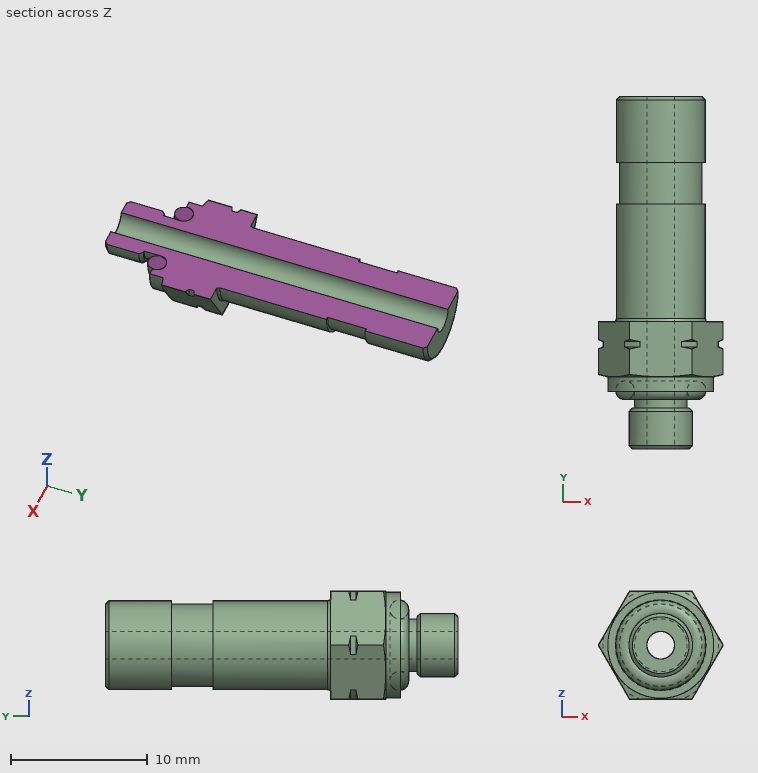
import cadquery as cq
import math


total_length = 25.75
spigot_length = 3.0
neck_length = 1.2
collar_length = 1.06
hex_length = 4.04
stem_root_length = 0.22
rear_land_length = 4.83
stem_recess_length = 3.02

bore_diameter = 2.0
spigot_diameter = 4.64
neck_diameter = 3.85
collar_diameter = 7.74
stem_diameter = 6.5
stem_root_diameter = 6.65
stem_recess_diameter = 6.05

spigot_chamfer = 0.25
stem_chamfer = 0.25

hex_across_flats = 7.9
hex_across_corners = hex_across_flats / math.cos(math.radians(30))
hex_chamfer_angle = 15

groove_floor_diameter = 8.46
groove_floor_width = 0.38
groove_flank_angle = 25
groove_to_hex_back = 1.65

ring_outer_diameter = 6.6
ring_height_above_collar = 0.6

collar_face = spigot_length + neck_length
hex_front = collar_face + collar_length
hex_back = hex_front + hex_length
stem_start = hex_back + stem_root_length
recess_end = total_length - rear_land_length
recess_start = recess_end - stem_recess_length

ring_section_radius = (ring_outer_diameter - neck_diameter) / 4
ring_centre_radius = ring_outer_diameter / 2 - ring_section_radius
ring_centre_y = collar_face - ring_height_above_collar + ring_section_radius


def revolve_about_y(profile):
    """Revolve a closed XY profile (X = radius) a full turn about the Y axis."""
    return profile.revolve(360, (0, 0, 0), (0, 1, 0))


def make_turned_core():
    """Spigot, neck, collar and stem as one turned shape with its through bore."""
    bore_radius = bore_diameter / 2
    spigot_radius = spigot_diameter / 2
    neck_radius = neck_diameter / 2
    collar_radius = collar_diameter / 2
    stem_radius = stem_diameter / 2
    recess_radius = stem_recess_diameter / 2
    profile = (
        cq.Workplane("XY")
        .moveTo(bore_radius, 0)
        .lineTo(spigot_radius - spigot_chamfer, 0)
        .lineTo(spigot_radius, spigot_chamfer)
        .lineTo(spigot_radius, spigot_length - spigot_chamfer)
        .lineTo(spigot_radius - spigot_chamfer, spigot_length)
        .lineTo(neck_radius, spigot_length)
        .lineTo(neck_radius, collar_face)
        .lineTo(collar_radius, collar_face)
        .lineTo(collar_radius, hex_back)
        .lineTo(stem_root_diameter / 2, hex_back)
        .lineTo(stem_radius, stem_start)
        .lineTo(stem_radius, recess_start)
        .lineTo(recess_radius, recess_start)
        .lineTo(recess_radius, recess_end)
        .lineTo(stem_radius, recess_end)
        .lineTo(stem_radius, total_length - stem_chamfer)
        .lineTo(stem_radius - stem_chamfer, total_length)
        .lineTo(bore_radius, total_length)
        .close()
    )
    return revolve_about_y(profile)


def make_hex_envelope():
    """Turned shape that trims the hexagon: a front chamfer cone and the corner groove."""
    outer_radius = hex_across_corners / 2
    collar_radius = collar_diameter / 2
    floor_radius = groove_floor_diameter / 2
    chamfer_length = (outer_radius - collar_radius) * math.tan(math.radians(hex_chamfer_angle))
    flank_length = (outer_radius - floor_radius) * math.tan(math.radians(groove_flank_angle))
    groove_centre = hex_back - groove_to_hex_back
    floor_front = groove_centre - groove_floor_width / 2
    floor_back = groove_centre + groove_floor_width / 2
    profile = (
        cq.Workplane("XY")
        .moveTo(bore_diameter / 2, hex_front)
        .lineTo(collar_radius, hex_front)
        .lineTo(outer_radius, hex_front + chamfer_length)
        .lineTo(outer_radius, floor_front - flank_length)
        .lineTo(floor_radius, floor_front)
        .lineTo(floor_radius, floor_back)
        .lineTo(outer_radius, floor_back + flank_length)
        .lineTo(outer_radius, hex_back)
        .lineTo(bore_diameter / 2, hex_back)
        .close()
    )
    return revolve_about_y(profile)


def make_hexagon():
    """Hexagon with corners on the X axis and flats facing up and down."""
    prism = (
        cq.Workplane("XZ", origin=(0, hex_front, 0))
        .polygon(6, hex_across_corners)
        .circle(bore_diameter / 2)
        .extrude(-hex_length)
    )
    return prism.intersect(make_hex_envelope())


def make_o_ring():
    """Round-section sealing ring."""
    profile = cq.Workplane("XY").center(ring_centre_radius, ring_centre_y).circle(ring_section_radius)
    return profile.revolve(360, (-ring_centre_radius, 0, 0), (-ring_centre_radius, 1, 0))


o_ring = make_o_ring()

fitting = make_turned_core().union(make_hexagon()).cut(o_ring).solids()

result = cq.Compound.makeCompound([fitting.val(), o_ring.val()])